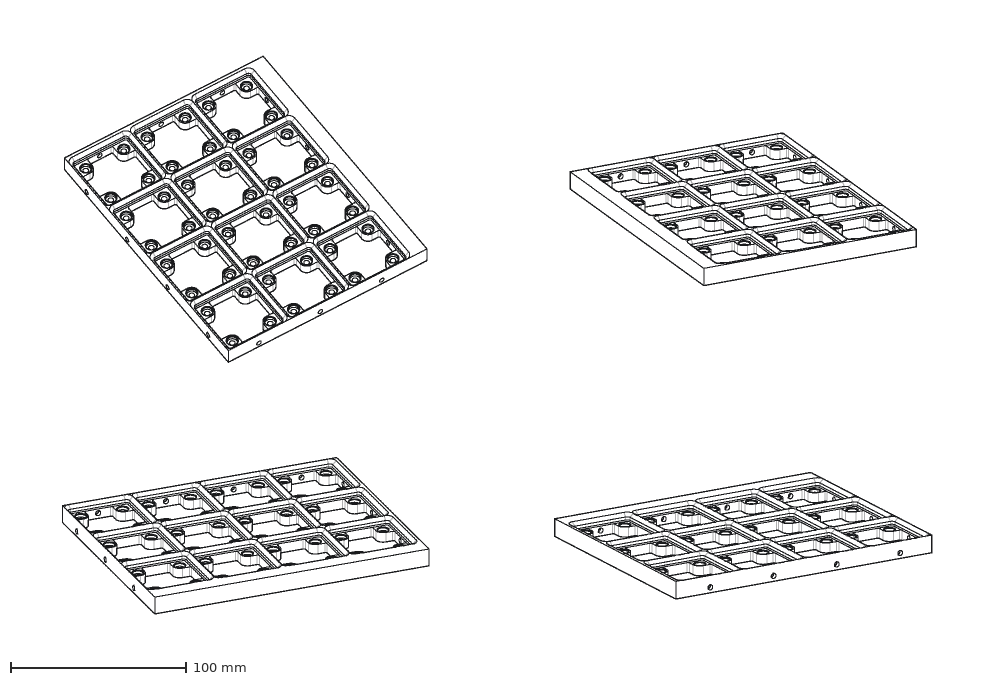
import cadquery as cq

COLUMNS = 4
ROWS = 3
PITCH = 42.0

LEFT_MARGIN = 2.0
BACK_MARGIN = 10.0
LENGTH = LEFT_MARGIN + COLUMNS * PITCH
WIDTH = ROWS * PITCH + BACK_MARGIN

UPPER_CHAMFER = 2.15
UPRIGHT_BAND = 1.8
LOWER_CHAMFER = 0.7
FLOOR_HEIGHT = 6.0
HEIGHT = FLOOR_HEIGHT + LOWER_CHAMFER + UPRIGHT_BAND + UPPER_CHAMFER
POCKET_BAND = PITCH - 2 * UPPER_CHAMFER
POCKET_FLOOR = POCKET_BAND - 2 * LOWER_CHAMFER
TOP_CORNER_RADIUS = 4.0
BAND_CORNER_RADIUS = TOP_CORNER_RADIUS - UPPER_CHAMFER

HOLE_OFFSET = 13.0
PAD_RADIUS = 4.3
PAD_INNER_EDGE = HOLE_OFFSET - PAD_RADIUS
PAD_ROOT_FILLET = 1.0
SCREW_DIAMETER = 3.2
MAGNET_DIAMETER = 6.2
MAGNET_DEPTH = 2.0
MAGNET_CHAMFER = 0.4

SIDE_HOLE_DIAMETER = 3.0
SIDE_HOLE_HEIGHT = 3.3
WALL_THICKNESS = (PITCH - POCKET_FLOOR) / 2

GRID_LEFT = -LENGTH / 2 + LEFT_MARGIN
GRID_RIGHT = LENGTH / 2
GRID_FRONT = -WIDTH / 2
GRID_BACK = GRID_FRONT + ROWS * PITCH
COLUMN_CENTERS = [GRID_LEFT + (i + 0.5) * PITCH for i in range(COLUMNS)]
ROW_CENTERS = [GRID_FRONT + (j + 0.5) * PITCH for j in range(ROWS)]


def rounded_square(height, size, radius):
    """Sketch of a rounded square at the given height."""
    sketch = cq.Sketch().rect(size, size).vertices().fillet(radius)
    return cq.Workplane("XY").workplane(offset=height).placeSketch(sketch)


def stepped_pocket():
    """Void above the cell floor, narrowing downwards at 45 degrees in two steps."""
    band_top = HEIGHT - UPPER_CHAMFER
    upper = rounded_square(HEIGHT, PITCH, TOP_CORNER_RADIUS).extrude(-UPPER_CHAMFER, taper=45)
    band = rounded_square(band_top, POCKET_BAND, BAND_CORNER_RADIUS).extrude(-UPRIGHT_BAND)
    band_bottom = band_top - UPRIGHT_BAND
    lower = rounded_square(band_bottom, POCKET_BAND, BAND_CORNER_RADIUS).extrude(-LOWER_CHAMFER, taper=45)
    return upper.union(band).union(lower)


def floor_opening():
    """Cross-shaped opening through the floor, leaving a rounded pad in each corner."""
    bar_width = 2 * PAD_INNER_EDGE
    bar_x = rounded_bar(POCKET_FLOOR, bar_width)
    bar_y = rounded_bar(bar_width, POCKET_FLOOR)
    reach = PAD_INNER_EDGE + PAD_ROOT_FILLET
    pad_corners = cq.selectors.BoxSelector((-reach, -reach, 0), (reach, reach, FLOOR_HEIGHT))
    return bar_x.union(bar_y).edges("|Z").edges(pad_corners).fillet(PAD_RADIUS)


def rounded_bar(length, width):
    """Upright bar, as tall as the floor, with rounded corners."""
    return cq.Workplane("XY").rect(length, width).extrude(FLOOR_HEIGHT).edges("|Z").fillet(PAD_ROOT_FILLET)


def pad_hole():
    """Screw hole through a pad with a chamfered magnet recess on top."""
    screw = cq.Workplane("XY").circle(SCREW_DIAMETER / 2).extrude(FLOOR_HEIGHT)
    recess = (
        cq.Workplane("XY")
        .workplane(offset=FLOOR_HEIGHT - MAGNET_DEPTH)
        .circle(MAGNET_DIAMETER / 2)
        .extrude(MAGNET_DEPTH)
    )
    mouth = (
        cq.Workplane("XY")
        .workplane(offset=FLOOR_HEIGHT)
        .circle(MAGNET_DIAMETER / 2 + MAGNET_CHAMFER)
        .extrude(-MAGNET_CHAMFER, taper=45)
    )
    return screw.union(recess).union(mouth)


def cell_void():
    """Everything removed from one cell, centred on the origin."""
    void = stepped_pocket().union(floor_opening())
    hole = pad_hole()
    for x in (-HOLE_OFFSET, HOLE_OFFSET):
        for y in (-HOLE_OFFSET, HOLE_OFFSET):
            void = void.union(hole.translate((x, y, 0)))
    return void


def side_hole(x, y, direction):
    """Hole of one wall thickness, starting at (x, y) and running along direction."""
    start = cq.Vector(x, y, SIDE_HOLE_HEIGHT)
    return cq.Solid.makeCylinder(SIDE_HOLE_DIAMETER / 2, WALL_THICKNESS, start, direction)


def side_holes():
    """Holes through the perimeter walls of the grid, one per outer cell side."""
    along_x = cq.Vector(1, 0, 0)
    along_y = cq.Vector(0, 1, 0)
    holes = []
    for x in COLUMN_CENTERS:
        holes.append(side_hole(x, GRID_FRONT, along_y))
        holes.append(side_hole(x, GRID_BACK, -along_y))
    for y in ROW_CENTERS:
        holes.append(side_hole(GRID_LEFT, y, along_x))
        holes.append(side_hole(GRID_RIGHT, y, -along_x))
    return holes


block = cq.Workplane("XY").box(LENGTH, WIDTH, HEIGHT, centered=(True, True, False))
cell = cell_void().val()
cells = [cell.translate(cq.Vector(x, y, 0)) for x in COLUMN_CENTERS for y in ROW_CENTERS]
plate = block.val().cut(*cells).cut(*side_holes())
result = cq.Workplane(plate.Solids()[0])